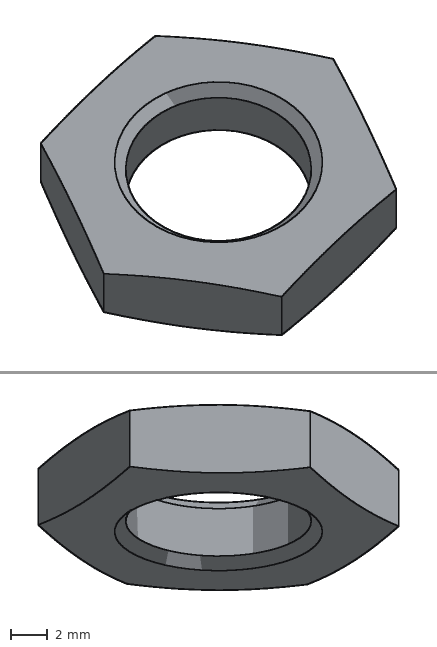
import cadquery as cq
import math

across_corners = 19.63
across_flats = across_corners * math.cos(math.radians(30))
thickness = 4.0

bore_diameter = 10.09
countersink_diameter = 11.3
countersink_angle = 45.0

corner_chamfer_angle = 15.0


def hexagon_body():
    return cq.Workplane("XY").polygon(6, across_corners).extrude(thickness)


def corner_chamfer_envelope():
    """Solid of revolution that trims the hexagon corners at both ends."""
    corner_radius = across_corners / 2
    face_radius = across_flats / 2
    drop = (corner_radius - face_radius) * math.tan(math.radians(corner_chamfer_angle))
    profile = [
        (0, 0),
        (face_radius, 0),
        (corner_radius, drop),
        (corner_radius, thickness - drop),
        (face_radius, thickness),
        (0, thickness),
    ]
    return cq.Workplane("XZ").polyline(profile).close().revolve(360, (0, 0), (0, 1))


def countersunk_bore():
    """Hole cutter with a cone at each end."""
    bore_radius = bore_diameter / 2
    mouth_radius = countersink_diameter / 2
    depth = (mouth_radius - bore_radius) * math.tan(math.radians(countersink_angle))
    profile = [
        (0, 0),
        (mouth_radius, 0),
        (bore_radius, depth),
        (bore_radius, thickness - depth),
        (mouth_radius, thickness),
        (0, thickness),
    ]
    return cq.Workplane("XZ").polyline(profile).close().revolve(360, (0, 0), (0, 1))


result = hexagon_body().intersect(corner_chamfer_envelope()).cut(countersunk_bore())